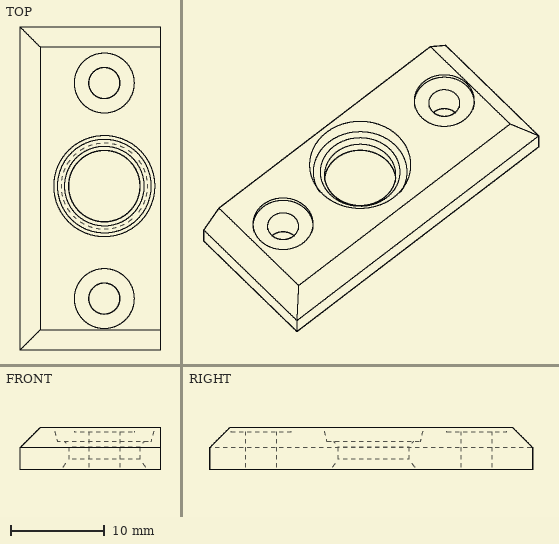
import cadquery as cq

length_x = 15.0
length_y = 34.5
thickness = 4.5
bevel_size = 2.17

hole_line_x = 9.0
bore_y = 17.5
front_screw_y = 5.5
back_screw_y = 28.5

screw_diameter = 3.3
screw_recess_diameter = 6.4
screw_recess_depth = 0.5

seat_top_diameter = 10.8
seat_floor_diameter = 10.0
seat_depth = 1.5
bore_diameter = 7.6
bore_lead_in_diameter = 8.5
lead_in_depth = 0.6
bottom_relief_diameter = 9.2
bottom_relief_height = 1.1


def make_plate():
    """Flat bar with its -X edge and both Y end edges bevelled at 45 degrees on top."""
    plate = cq.Workplane("XY").box(length_x, length_y, thickness, centered=False)
    return plate.faces(">Z").edges("<X or <Y or >Y").chamfer(bevel_size)


def make_screw_hole_cutter(y):
    """Through hole with a shallow flat recess for the screw head."""
    hole = cq.Workplane("XY").center(hole_line_x, y).circle(screw_diameter / 2).extrude(thickness)
    recess = (
        cq.Workplane("XY", origin=(hole_line_x, y, thickness))
        .circle(screw_recess_diameter / 2)
        .extrude(-screw_recess_depth)
    )
    return hole.union(recess)


def make_bore_cutter():
    """Revolved bore: tapered seat, flat ledge, conical lead-in, bore and bottom relief."""
    seat_floor = thickness - seat_depth
    bore_top = seat_floor - lead_in_depth
    profile = [
        (0, 0),
        (bottom_relief_diameter / 2, 0),
        (bore_diameter / 2, bottom_relief_height),
        (bore_diameter / 2, bore_top),
        (bore_lead_in_diameter / 2, seat_floor),
        (seat_floor_diameter / 2, seat_floor),
        (seat_top_diameter / 2, thickness),
        (0, thickness),
    ]
    cutter = cq.Workplane("XZ").polyline(profile).close().revolve(360, (0, 0), (0, 1))
    return cutter.translate((hole_line_x, bore_y, 0))


result = make_plate().cut(make_bore_cutter())
for screw_y in (front_screw_y, back_screw_y):
    result = result.cut(make_screw_hole_cutter(screw_y))